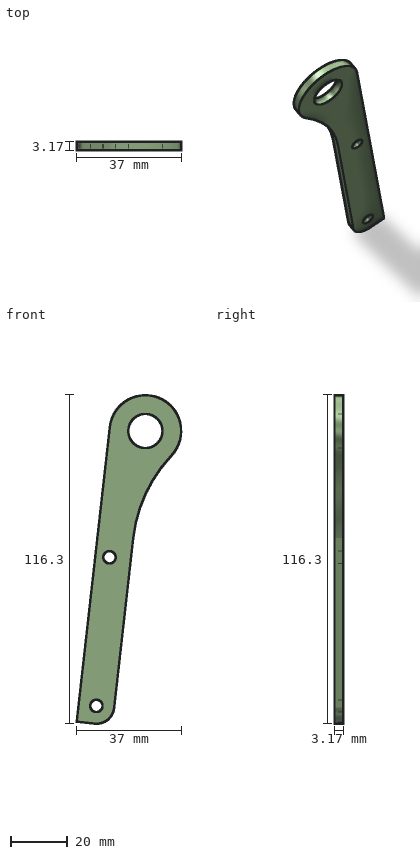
import cadquery as cq
import math

thickness = 3.175
arm_width = 12.7
head_radius = 12.7
head_bore_diameter = 12.0
pin_hole_diameter = 4.29
pin_hole_spacing = 52.75
upper_hole_offset = 1.27
head_to_end_hole = 98.55
neck_radius = 50.8
tilt_angle = 6.41

left_edge = -head_radius
right_edge = left_edge + arm_width
hole_line = (left_edge + right_edge) / 2
end_radius = arm_width / 2
end_hole_y = -head_to_end_hole
arm_end_y = end_hole_y - end_radius

neck_center_x = right_edge + neck_radius
centers_distance = head_radius + neck_radius
neck_center_y = -math.sqrt(centers_distance**2 - neck_center_x**2)
neck_angle = math.atan2(neck_center_y, neck_center_x)


def point_on_circle(center, radius, angle):
    """Point at an angle (radians) on a circle."""
    return (center[0] + radius * math.cos(angle), center[1] + radius * math.sin(angle))


def make_plate():
    """Lever outline with a round head, a curved neck and one rounded end corner."""
    head_center = (0, 0)
    neck_center = (neck_center_x, neck_center_y)
    end_center = (hole_line, end_hole_y)
    head_mid_angle = (math.pi + neck_angle) / 2
    neck_mid_angle = math.pi + neck_angle / 2
    head_end = point_on_circle(head_center, head_radius, neck_angle)
    return (
        cq.Workplane("XZ")
        .moveTo(left_edge, arm_end_y)
        .lineTo(left_edge, 0)
        .threePointArc(point_on_circle(head_center, head_radius, head_mid_angle), head_end)
        .threePointArc(
            point_on_circle(neck_center, neck_radius, neck_mid_angle),
            (right_edge, neck_center_y),
        )
        .lineTo(right_edge, end_hole_y)
        .threePointArc(
            point_on_circle(end_center, end_radius, -math.pi / 4),
            (hole_line, arm_end_y),
        )
        .close()
        .extrude(thickness)
    )


def cut_hole(plate, center, diameter):
    """Cut a round hole right through the plate."""
    cutter = cq.Workplane("XZ").center(*center).circle(diameter / 2).extrude(thickness)
    return plate.cut(cutter)


lever = make_plate()
lever = cut_hole(lever, (0, 0), head_bore_diameter)
upper_hole = (hole_line - upper_hole_offset, end_hole_y + pin_hole_spacing)
lower_hole = (hole_line, end_hole_y)
for hole_center in (upper_hole, lower_hole):
    lever = cut_hole(lever, hole_center, pin_hole_diameter)

result = lever.rotate((0, 0, 0), (0, 1, 0), tilt_angle)